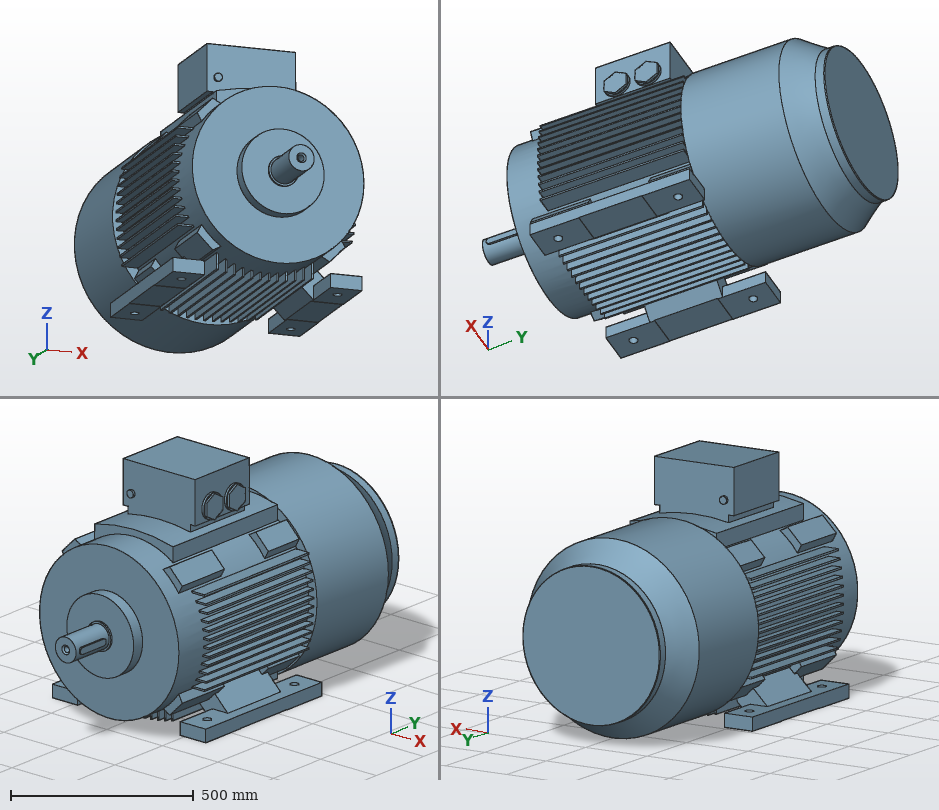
import cadquery as cq
import math


SHAFT_SHOULDER_Y = 140.0
BOSS_FRONT_Y = 145.0
BODY_FRONT_Y = 183.0
FIN_FRONT_Y = 288.0
FIN_REAR_Y = 729.0
COWL_FRONT_Y = 732.0
TAPER_FRONT_Y = 1034.0
TAPER_REAR_Y = 1116.0
REAR_END_Y = 1146.0

SHAFT_DIAMETER = 75.0
SHAFT_RADIUS = SHAFT_DIAMETER / 2
COLLAR_DIAMETER = 86.0
COLLAR_RADIUS = COLLAR_DIAMETER / 2
BOSS_RADIUS = 120.0
BODY_RADIUS = 251.0
COWL_DIAMETER = 560.0
COWL_RADIUS = COWL_DIAMETER / 2
RIM_RADIUS = 223.0
TAPER_HOLLOW = 1.7
RIM_BEVEL_LENGTH = 3.0
RIM_BEVEL_DROP = 1.0

KEY_WIDTH = 21.0
KEY_END_RADIUS = 10.1
KEY_TOP_X = 41.0
KEY_HEIGHT = 11.0
KEY_FRONT_Y = 14.0
KEY_LENGTH = 109.0
CENTRE_HOLE_RADIUS = 9.0
CENTRE_HOLE_DEPTH = 40.0
COUNTERSINK_RADIUS = 14.0

CROWN_TOP = 272.0
CROWN_RADIUS = 573.0
FIN_COUNT = 12
FIN_PITCH = 25.0
FIN_THICKNESS = 5.0
SADDLE_HALF_WIDTH = 141.0
FIN_ROOT = 183.0

PAD_OUTER_DISTANCE = 274.0
PAD_INNER_DISTANCE = 241.0
PAD_OUTER_HALF_WIDTH = 32.0
PAD_SIDE_SLOPE = 0.3
LONG_PAD_SPAN = (238.0, 416.0)
SHORT_PAD_SPAN = (602.0, COWL_FRONT_Y)

FOOT_BOTTOM_Z = -COWL_RADIUS
FOOT_HEIGHT = 40.0
FOOT_OUTER_X = 276.0
FOOT_INNER_X = 185.0
FOOT_FRONT_Y = 267.0
FOOT_LENGTH = 490.0
LEG_FRONT_Y = 402.0
LEG_LENGTH = 223.0
LEG_ROOT_X = 115.0
FOOT_RELIEF_DEPTH = 1.0
FOOT_RELIEF_FRONT_Y = 417.0
FOOT_RELIEF_LENGTH = 194.0
MOUNT_HOLE_DIAMETER = 24.0
MOUNT_HOLE_X = 228.0
MOUNT_HOLE_FRONT_Y = 330.0
MOUNT_HOLE_SPACING = 368.0

OVERALL_HEIGHT = 698.0
BOX_TOP_Z = FOOT_BOTTOM_Z + OVERALL_HEIGHT
BOX_BOTTOM_Z = 282.0
BOX_HALF_WIDTH = 130.0
BOX_FRONT_Y = 394.0
BOX_LENGTH = 229.0
NECK_HALF_WIDTH = 112.0
SCREW_X = -99.0
SCREW_Z = 323.0
SCREW_RADIUS = 11.0
SCREW_HEIGHT = 7.0
GLAND_RADIUS = 39.0
GLAND_STEP = 7.0
GLAND_Z = SCREW_Z
GLAND_YS = (462.0, 557.0)


def span_box(x0, x1, y0, y1, z0, z1):
    """Box between two opposite corners."""
    return cq.Workplane("XY").box(x1 - x0, y1 - y0, z1 - z0, centered=False).translate((x0, y0, z0))


def extrude_along_y(outline, y0, y1):
    """Extrude a closed XZ outline from y0 to y1."""
    return outline.extrude(y0 - y1).translate((0, y0, 0))


def about_axis(shape, angle):
    """Turn a shape around the motor axis."""
    return shape.rotate((0, 0, 0), (0, 1, 0), angle)


def turned_body():
    """Shaft, collar, boss, body, cowl and rear rim as one revolved profile."""
    taper_middle = (
        (COWL_RADIUS + RIM_RADIUS) / 2 - TAPER_HOLLOW,
        (TAPER_FRONT_Y + TAPER_REAR_Y) / 2,
    )
    return (
        cq.Workplane("XY")
        .moveTo(0, 0)
        .lineTo(SHAFT_RADIUS, 0)
        .lineTo(SHAFT_RADIUS, SHAFT_SHOULDER_Y)
        .lineTo(COLLAR_RADIUS, SHAFT_SHOULDER_Y)
        .lineTo(COLLAR_RADIUS, BOSS_FRONT_Y)
        .lineTo(BOSS_RADIUS, BOSS_FRONT_Y)
        .lineTo(BOSS_RADIUS, BODY_FRONT_Y)
        .lineTo(BODY_RADIUS, BODY_FRONT_Y)
        .lineTo(BODY_RADIUS, COWL_FRONT_Y)
        .lineTo(COWL_RADIUS, COWL_FRONT_Y)
        .lineTo(COWL_RADIUS, TAPER_FRONT_Y)
        .threePointArc(taper_middle, (RIM_RADIUS, TAPER_REAR_Y))
        .lineTo(RIM_RADIUS, REAR_END_Y - RIM_BEVEL_LENGTH)
        .lineTo(RIM_RADIUS - RIM_BEVEL_DROP, REAR_END_Y)
        .lineTo(0, REAR_END_Y)
        .close()
        .revolve(360, (0, 0, 0), (0, 1, 0))
    )


def shaft_key():
    """Round-ended key standing out of the shaft on the +X side."""
    key = span_box(
        KEY_TOP_X - KEY_HEIGHT, KEY_TOP_X,
        KEY_FRONT_Y, KEY_FRONT_Y + KEY_LENGTH,
        -KEY_WIDTH / 2, KEY_WIDTH / 2,
    )
    return key.edges("|X").fillet(KEY_END_RADIUS)


def centre_hole():
    """Countersunk blind hole with a conical bottom, in the shaft tip."""
    countersink_depth = COUNTERSINK_RADIUS - CENTRE_HOLE_RADIUS
    return (
        cq.Workplane("XY")
        .moveTo(0, 0)
        .lineTo(COUNTERSINK_RADIUS, 0)
        .lineTo(CENTRE_HOLE_RADIUS, countersink_depth)
        .lineTo(CENTRE_HOLE_RADIUS, CENTRE_HOLE_DEPTH)
        .lineTo(0, CENTRE_HOLE_DEPTH + CENTRE_HOLE_RADIUS)
        .close()
        .revolve(360, (0, 0, 0), (0, 1, 0))
    )


def crown_height(x):
    """Height of the crowned outline at a distance x from its middle."""
    return CROWN_TOP - CROWN_RADIUS + math.sqrt(CROWN_RADIUS ** 2 - x ** 2)


def crowned_strip(x0, x1, root):
    """Bar along the fin length, from a flat root up to the crowned outline."""
    middle = (x0 + x1) / 2
    outline = (
        cq.Workplane("XZ")
        .moveTo(x0, root)
        .lineTo(x0, crown_height(x0))
        .threePointArc((middle, crown_height(middle)), (x1, crown_height(x1)))
        .lineTo(x1, root)
        .close()
    )
    return extrude_along_y(outline, FIN_FRONT_Y, FIN_REAR_Y)


def fin_bank():
    """Row of upright fins on top of the body, before it is turned to its side."""
    bank = cq.Workplane("XY")
    for index in range(FIN_COUNT):
        middle = (index - (FIN_COUNT - 1) / 2) * FIN_PITCH
        bank = bank.add(crowned_strip(middle - FIN_THICKNESS / 2, middle + FIN_THICKNESS / 2, FIN_ROOT))
    return bank.combine()


def pad(y0, y1):
    """Tapered pad on top of the body, before it is turned to its corner."""
    inner_half_width = PAD_OUTER_HALF_WIDTH + PAD_SIDE_SLOPE * (PAD_OUTER_DISTANCE - PAD_INNER_DISTANCE)
    outline = (
        cq.Workplane("XZ")
        .moveTo(-inner_half_width, PAD_INNER_DISTANCE)
        .lineTo(-PAD_OUTER_HALF_WIDTH, PAD_OUTER_DISTANCE)
        .lineTo(PAD_OUTER_HALF_WIDTH, PAD_OUTER_DISTANCE)
        .lineTo(inner_half_width, PAD_INNER_DISTANCE)
        .close()
    )
    return extrude_along_y(outline, y0, y1)


def foot_with_leg():
    """Foot on the +X side, joined to the body by a leg at 45 degrees."""
    foot_top_z = FOOT_BOTTOM_Z + FOOT_HEIGHT
    foot = span_box(
        FOOT_INNER_X, FOOT_OUTER_X,
        FOOT_FRONT_Y, FOOT_FRONT_Y + FOOT_LENGTH,
        FOOT_BOTTOM_Z, foot_top_z,
    )
    leg_outline = cq.Workplane("XZ").polyline([
        (LEG_ROOT_X, -LEG_ROOT_X),
        (-foot_top_z, foot_top_z),
        (FOOT_INNER_X, FOOT_BOTTOM_Z),
        (LEG_ROOT_X, FOOT_BOTTOM_Z + FOOT_INNER_X - LEG_ROOT_X),
    ]).close()
    leg = extrude_along_y(leg_outline, LEG_FRONT_Y, LEG_FRONT_Y + LEG_LENGTH)
    hole_ys = (MOUNT_HOLE_FRONT_Y, MOUNT_HOLE_FRONT_Y + MOUNT_HOLE_SPACING)
    holes = (
        cq.Workplane("XY", origin=(0, 0, FOOT_BOTTOM_Z))
        .pushPoints([(MOUNT_HOLE_X, y) for y in hole_ys])
        .circle(MOUNT_HOLE_DIAMETER / 2)
        .extrude(FOOT_HEIGHT)
    )
    relief = span_box(
        LEG_ROOT_X, FOOT_OUTER_X,
        FOOT_RELIEF_FRONT_Y, FOOT_RELIEF_FRONT_Y + FOOT_RELIEF_LENGTH,
        FOOT_BOTTOM_Z, FOOT_BOTTOM_Z + FOOT_RELIEF_DEPTH,
    )
    return foot.union(leg).cut(holes).cut(relief)


def cable_gland(y):
    """Round flange with a hexagon on the +X face of the terminal box, points up and down."""
    flange_plane = cq.Workplane("YZ", origin=(BOX_HALF_WIDTH, y, GLAND_Z))
    flange = flange_plane.circle(GLAND_RADIUS).extrude(GLAND_STEP)
    hexagon = (
        flange_plane.workplane(offset=GLAND_STEP)
        .transformed(rotate=(0, 0, 90))
        .polygon(6, 2 * GLAND_RADIUS)
        .extrude(GLAND_STEP)
    )
    return flange.union(hexagon)


def terminal_box():
    """Box on a narrower neck, with a screw head at each end and two cable glands."""
    box_rear_y = BOX_FRONT_Y + BOX_LENGTH
    box = span_box(-BOX_HALF_WIDTH, BOX_HALF_WIDTH, BOX_FRONT_Y, box_rear_y, BOX_BOTTOM_Z, BOX_TOP_Z)
    neck = span_box(-NECK_HALF_WIDTH, NECK_HALF_WIDTH, BOX_FRONT_Y, box_rear_y, BODY_RADIUS, BOX_BOTTOM_Z)
    screws_outline = cq.Workplane("XZ").center(SCREW_X, SCREW_Z).circle(SCREW_RADIUS)
    screws = extrude_along_y(screws_outline, BOX_FRONT_Y - SCREW_HEIGHT, box_rear_y + SCREW_HEIGHT)
    box = box.union(neck).union(screws)
    for y in GLAND_YS:
        box = box.union(cable_gland(y))
    return box


motor = turned_body().union(shaft_key()).cut(centre_hole())

for side_angle in (90, 180, 270):
    motor = motor.union(about_axis(fin_bank(), side_angle))

for corner_angle in (45, 135, 225, 315):
    for span in (LONG_PAD_SPAN, SHORT_PAD_SPAN):
        motor = motor.union(about_axis(pad(*span), corner_angle))

right_foot = foot_with_leg()
motor = motor.union(right_foot).union(right_foot.mirror("YZ"))

saddle = crowned_strip(-SADDLE_HALF_WIDTH, SADDLE_HALF_WIDTH, FIN_ROOT)
result = motor.union(saddle).union(terminal_box())